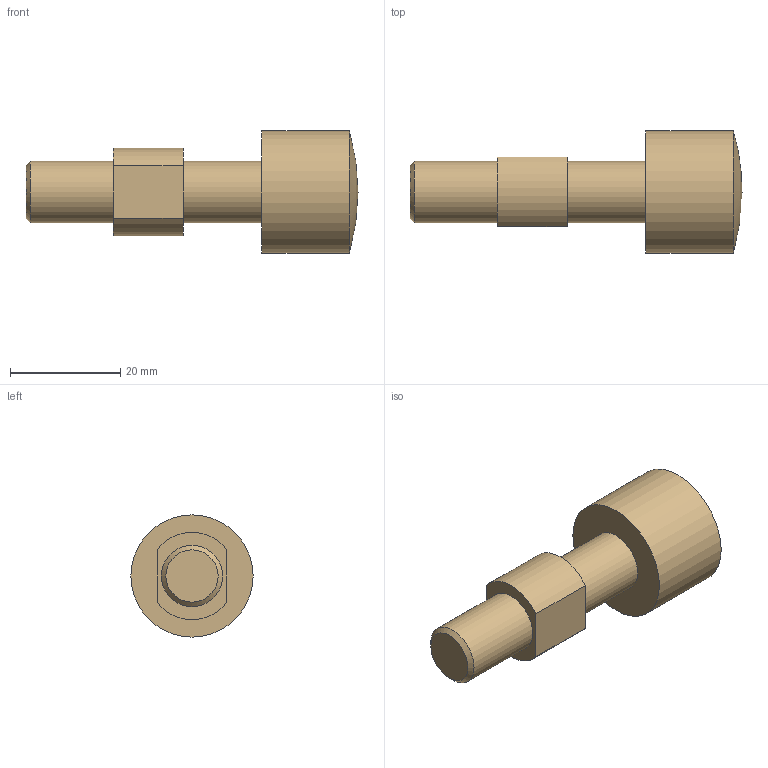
import cadquery as cq

total_length = 60.325
shank_diameter = 11.1125
tip_chamfer = 0.8
collar_start = 15.875
collar_length = 12.7
collar_diameter = 15.875
collar_width_across_flats = 12.7
head_diameter = 22.225
head_side_length = 15.875
dome_height = 1.5875

dome_start = total_length - dome_height
head_start = dome_start - head_side_length

head_radius = head_diameter / 2
dome_radius = (head_radius**2 + dome_height**2) / (2 * dome_height)
dome_mid_radius = head_radius / 2
dome_center_x = total_length - dome_radius
dome_mid_x = dome_center_x + (dome_radius**2 - dome_mid_radius**2) ** 0.5


def make_shank():
    """Round shank from the chamfered tip to the underside of the head."""
    shank = cq.Workplane("YZ").circle(shank_diameter / 2).extrude(head_start)
    return shank.faces("<X").chamfer(tip_chamfer)


def make_collar():
    """Round collar with two parallel flats facing -Y and +Y."""
    collar = (
        cq.Workplane("YZ", origin=(collar_start, 0, 0))
        .circle(collar_diameter / 2)
        .extrude(collar_length)
    )
    flats = cq.Workplane("YZ", origin=(collar_start, 0, 0)).rect(
        collar_width_across_flats, collar_diameter
    )
    return collar.intersect(flats.extrude(collar_length))


def make_head():
    """Cylindrical head with a shallow spherical dome on its end."""
    half_profile = (
        cq.Workplane("XY")
        .moveTo(head_start, 0)
        .lineTo(head_start, head_radius)
        .lineTo(dome_start, head_radius)
        .threePointArc((dome_mid_x, dome_mid_radius), (total_length, 0))
        .close()
    )
    return half_profile.revolve(360, (0, 0, 0), (1, 0, 0))


result = make_shank().union(make_collar()).union(make_head())